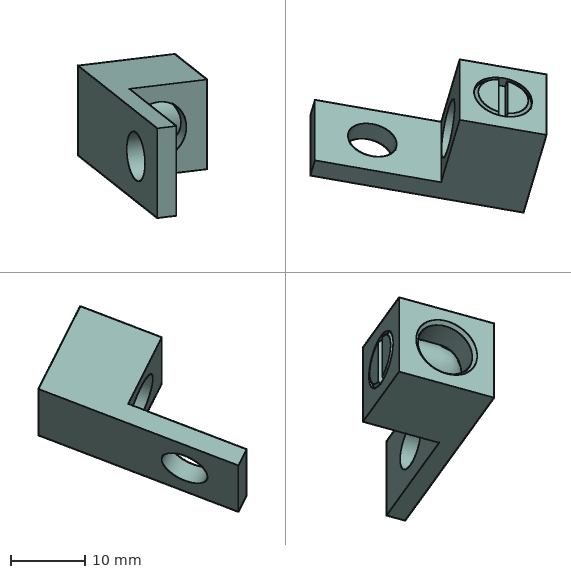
import cadquery as cq

lug_length = 29.4
lug_height = 12.7
block_length = 12.0
block_depth = 14.0
tongue_thickness = 2.75
mid_height = lug_height / 2

bolt_hole_diameter = 6.73
bolt_hole_x = 21.5

bore_diameter = 8.0
bore_chamfer = 0.5
bore_y = block_depth / 2

screw_diameter = 8.0
screw_radius = screw_diameter / 2
screw_x = block_length / 2
screw_protrusion = 0.12
screw_end_y = block_depth + screw_protrusion
tip_offset = 0.47
tip_center_y = bore_y - tip_offset
screw_chamfer = 0.55
slot_width = 1.2
slot_depth = 1.5


def make_round_tipped_rod(end_y):
    """Rod along Y from a hemispherical tip to a flat end at end_y."""
    shank = (
        cq.Workplane("XZ", origin=(screw_x, tip_center_y, mid_height))
        .circle(screw_radius)
        .extrude(tip_center_y - end_y)
    )
    tip = cq.Workplane("XY", origin=(screw_x, tip_center_y, mid_height)).sphere(screw_radius)
    return shank.union(tip)


def make_lug():
    """L-shaped lug with its bolt hole, cable bore and screw hole."""
    body = (
        cq.Workplane("XY")
        .moveTo(0, 0)
        .lineTo(lug_length, 0)
        .lineTo(lug_length, tongue_thickness)
        .lineTo(block_length, tongue_thickness)
        .lineTo(block_length, block_depth)
        .lineTo(0, block_depth)
        .close()
        .extrude(lug_height)
    )
    bolt_hole = (
        cq.Workplane("XZ", origin=(bolt_hole_x, 0, mid_height))
        .circle(bolt_hole_diameter / 2)
        .extrude(-tongue_thickness)
    )
    bore = (
        cq.Workplane("YZ", origin=(0, bore_y, mid_height))
        .circle(bore_diameter / 2)
        .extrude(block_length)
    )
    body = body.cut(bolt_hole).cut(bore)
    body = body.faces("<X").edges("%CIRCLE").chamfer(bore_chamfer)
    return body.cut(make_round_tipped_rod(block_depth))


def make_screw():
    """Clamping screw with a driver slot running along Z."""
    screw = make_round_tipped_rod(screw_end_y).faces(">Y").edges().chamfer(screw_chamfer)
    slot = cq.Workplane("XY").box(slot_width, slot_depth, screw_diameter)
    slot = slot.translate((screw_x, screw_end_y - slot_depth / 2, mid_height))
    return screw.cut(slot)


lug = make_lug()
clamping_screw = make_screw()

result = cq.Compound.makeCompound([lug.solids().val(), clamping_screw.solids().val()])